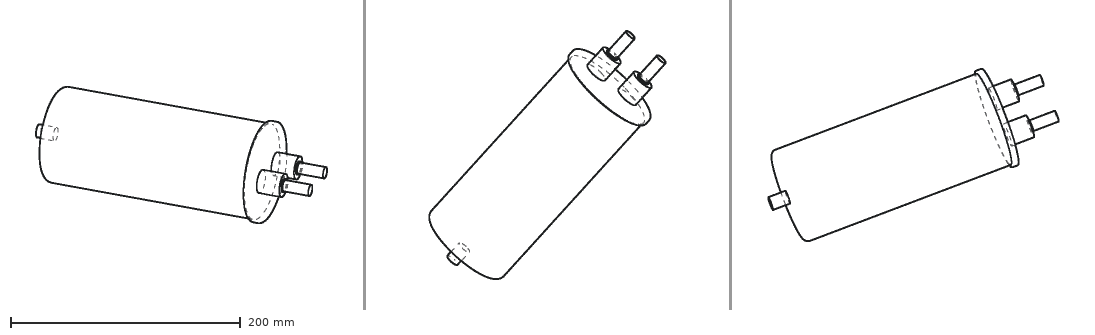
import cadquery as cq

overall_length = 261.0
stud_length = 16.0
can_length = 193.0
flange_thickness = 6.0
insulator_length = 21.1
collar_length = 1.0

can_diameter = 85.0
flange_diameter = 90.0
stud_diameter = 12.0
insulator_diameter = 20.5
collar_diameter = 12.0
pin_diameter = 10.2

can_edge_radius = 5.0
flange_edge_radius = 0.8
terminal_spacing = 35.2

flange_end = can_length + flange_thickness
insulator_end = flange_end + insulator_length
collar_end = insulator_end + collar_length
pin_end = overall_length - stud_length


def cylinder(diameter, start, end, y=0.0):
    """Solid cylinder parallel to X between two X positions."""
    section = cq.Workplane("YZ", origin=(start, y, 0)).circle(diameter / 2)
    return section.extrude(end - start)


def can():
    """Cylindrical can with a rounded rim around its closed face."""
    return cylinder(can_diameter, 0, can_length).faces("<X").edges().fillet(can_edge_radius)


def flange():
    """Rolled lid flange, rounded on both outer edges."""
    return cylinder(flange_diameter, can_length, flange_end).edges("%CIRCLE").fillet(flange_edge_radius)


def terminal(y):
    """Insulator, low collar and connection pin on one axis."""
    insulator = cylinder(insulator_diameter, flange_end, insulator_end, y)
    collar = cylinder(collar_diameter, insulator_end, collar_end, y)
    pin = cylinder(pin_diameter, collar_end, pin_end, y)
    return insulator.union(collar).union(pin)


mounting_stud = cylinder(stud_diameter, -stud_length, 0)

result = can().union(flange()).union(mounting_stud)
for side in (-1, 1):
    result = result.union(terminal(side * terminal_spacing / 2))